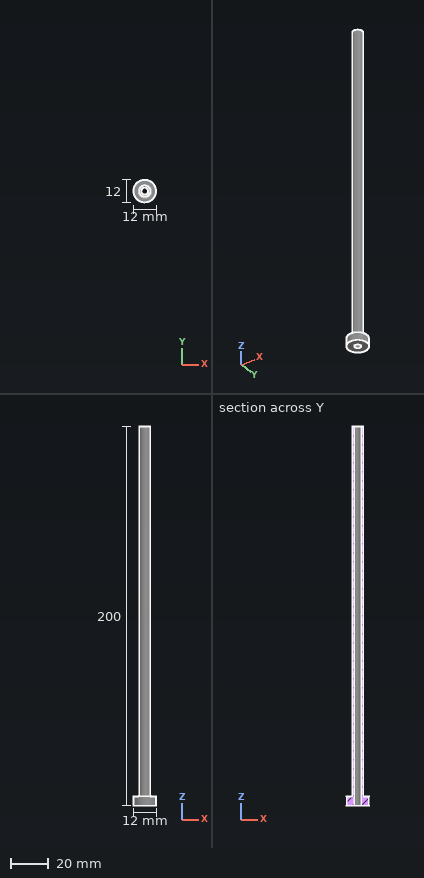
import cadquery as cq

total_length = 200.0
head_diameter = 12.0
head_height = 5.0
shank_diameter = 6.0
bore_radius = 1.75
root_fillet = 0.5

head_radius = head_diameter / 2
shank_radius = shank_diameter / 2

half_section = (
    cq.Workplane("XZ")
    .moveTo(bore_radius, 0)
    .lineTo(head_radius, 0)
    .lineTo(head_radius, head_height)
    .lineTo(shank_radius + root_fillet, head_height)
    .radiusArc((shank_radius, head_height + root_fillet), root_fillet)
    .lineTo(shank_radius, total_length)
    .lineTo(bore_radius, total_length)
    .close()
)

result = half_section.revolve(360, (0, 0), (0, 1))